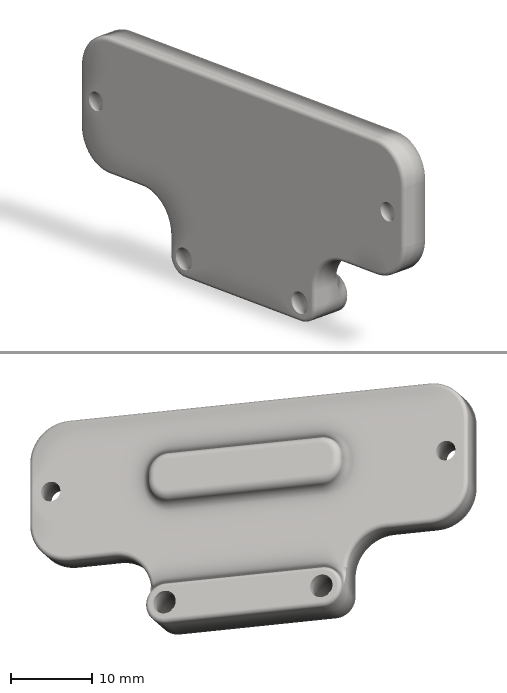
import cadquery as cq

width = 56.9
height = 27.95
plate_thickness = 4.0
total_depth = 6.0
body_height = 18.0
leg_width = 25.45
body_corner_radius = 5.0
leg_pad_height = 5.05
leg_corner_radius = leg_pad_height / 2
edge_fillet = 0.5

bar_length = 25.05
bar_height = 6.0
bar_corner_radius = 2.55
bar_rim_fillet = 0.95
base_fillet = 0.95
square_edge_height = 5.3

body_hole_diameter = 2.5
body_hole_x = 25.65
leg_hole_diameter = 2.9

margin = 0.05
end_gap = 0.0005

body_bottom = height - body_height
body_mid = height - body_height / 2
leg_hole_x = leg_width / 2 - leg_corner_radius


def plane_at(y):
    """XZ sketch plane at depth y whose normal points toward +Y; its local x is -X."""
    return cq.Workplane(cq.Plane(origin=(0, y, 0), xDir=(-1, 0, 0), normal=(0, 1, 0)))


def rounded_bar(length, bar_size, corner_radius, y, depth, center_z):
    """Bar along X with rounded corners, starting at depth y."""
    return (
        plane_at(y).center(0, center_z).rect(length, bar_size).extrude(depth)
        .edges("|Y").fillet(corner_radius)
    )


def plate_prism(y, depth):
    """T-shaped plate outline with rounded corners, extruded along Y."""
    half_width = width / 2
    half_leg = leg_width / 2
    prism = (
        plane_at(y)
        .polyline([
            (-half_width, height),
            (half_width, height),
            (half_width, body_bottom),
            (half_leg, body_bottom),
            (half_leg, 0),
            (-half_leg, 0),
            (-half_leg, body_bottom),
            (-half_width, body_bottom),
        ])
        .close()
        .extrude(depth)
    )
    leg_corners = prism.edges("|Y").edges("<Z")
    prism = leg_corners.fillet(leg_corner_radius)
    sharp_corners = cq.selectors.BoxSelector(
        (-width, y - margin, body_bottom - margin), (width, y + depth + margin, height + margin)
    )
    return prism.edges("|Y").edges(sharp_corners).fillet(body_corner_radius)


def flared_pad(pad, rim_fillet):
    """Round the rim of a raised pad and blend its base into the rear plane."""
    pad = pad.faces(">Y").edges().fillet(rim_fillet)
    slab = cq.Workplane("XY").box(2 * width, plate_thickness, 2 * height)
    slab = slab.translate((0, plate_thickness / 2, height / 2))
    joined = slab.union(pad)
    near_rear_plane = cq.selectors.BoxSelector(
        (-width / 2, plate_thickness - margin, -margin),
        (width / 2, plate_thickness + margin, height),
    )
    base_edges = joined.edges(near_rear_plane)
    blended = base_edges.fillet(base_fillet)
    return blended.cut(slab)


plate = plate_prism(0, plate_thickness).faces("<Y or >Y").edges().fillet(edge_fillet)

upper_bar = flared_pad(
    rounded_bar(bar_length, bar_height, bar_corner_radius, 0, total_depth, body_mid),
    bar_rim_fillet,
)

end_radius = leg_corner_radius - end_gap
leg_pad = flared_pad(
    rounded_bar(leg_width, leg_pad_height, end_radius, 0, total_depth, leg_pad_height / 2),
    edge_fillet,
)
leg_pad = leg_pad.intersect(plate_prism(0, total_depth))

leg_edge = plate_prism(plate_thickness / 2, plate_thickness / 2).intersect(
    cq.Workplane("XY").box(width, 2 * total_depth, 2 * square_edge_height)
)

body_holes = plane_at(0).pushPoints(
    [(-body_hole_x, body_mid), (body_hole_x, body_mid)]
).circle(body_hole_diameter / 2).extrude(total_depth)
leg_holes = plane_at(0).pushPoints(
    [(-leg_hole_x, leg_corner_radius), (leg_hole_x, leg_corner_radius)]
).circle(leg_hole_diameter / 2).extrude(total_depth)

result = plate.union(leg_edge).union(upper_bar).union(leg_pad).cut(body_holes).cut(leg_holes)